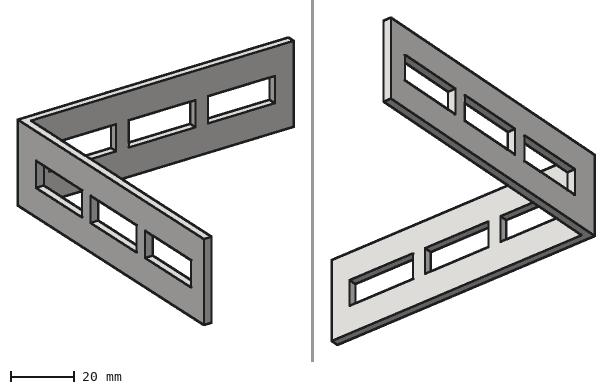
import cadquery as cq

leg_length = 102.7
height = 30.0
thickness = 3.0

window_count = 3
window_length = 25.3
window_height = 9.4
window_pitch = 30.1
first_window_start = 10.1


def make_leg():
    """Flat leg along +X with its outer face on the XZ plane."""
    leg = cq.Workplane("XY").box(leg_length, thickness, height, centered=False)
    window_bottom = (height - window_height) / 2
    for index in range(window_count):
        window_start = first_window_start + index * window_pitch
        window = (
            cq.Workplane("XY")
            .box(window_length, thickness, window_height, centered=False)
            .translate((window_start, 0, window_bottom))
        )
        leg = leg.cut(window)
    return leg


x_leg = make_leg()
y_leg = x_leg.rotate((0, 0, 0), (0, 0, 1), 90).mirror("YZ")

result = x_leg.union(y_leg, clean=True)